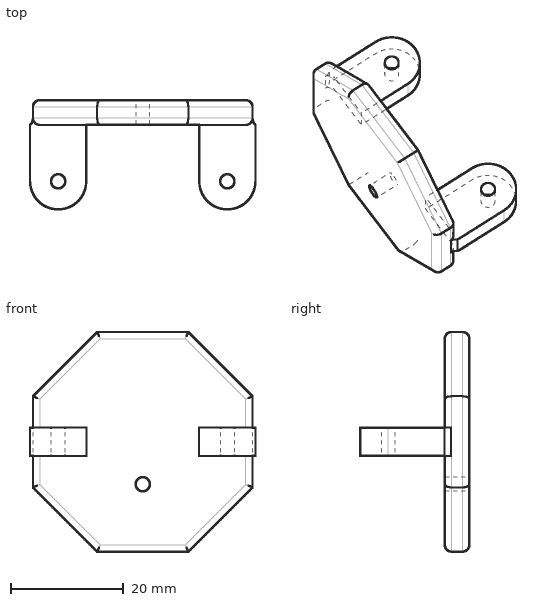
import cadquery as cq
import math

overall_width = 40
plate_across_flats = 39.0
plate_sides = 8
plate_thickness = 4.4
plate_edge_radius = 1.25

lug_width = 10
lug_thickness = 5.0
pivot_distance = 10
flare_depth = 1.1

hole_diameter = 2.5
plate_hole_drop = 7.5

lug_radius = lug_width / 2
lug_outer_x = overall_width / 2
lug_center_x = lug_outer_x - lug_radius
lug_inner_x = lug_outer_x - lug_width
plate_half_width = plate_across_flats / 2


def make_plate():
    """Octagon with flats on top, bottom and sides, all outer edges rounded."""
    across_corners = plate_across_flats / math.cos(math.pi / plate_sides)
    plate = (
        cq.Workplane("XZ")
        .transformed(rotate=(0, 0, 180 / plate_sides))
        .polygon(plate_sides, across_corners)
        .extrude(-plate_thickness)
        .faces("<Y or >Y")
        .edges()
        .fillet(plate_edge_radius)
    )
    hole = (
        cq.Workplane("XZ")
        .center(0, -plate_hole_drop)
        .circle(hole_diameter / 2)
        .extrude(-plate_thickness)
    )
    return plate.cut(hole)


def make_right_lug():
    """Round-ended lug whose outer root curves tangentially into the plate side."""
    return (
        cq.Workplane("XY")
        .moveTo(lug_inner_x, flare_depth)
        .lineTo(lug_inner_x, -pivot_distance)
        .threePointArc(
            (lug_center_x, -pivot_distance - lug_radius),
            (lug_outer_x, -pivot_distance),
        )
        .lineTo(lug_outer_x, 0)
        .threePointArc(root_arc_middle(), (plate_half_width, flare_depth))
        .close()
        .moveTo(lug_center_x, -pivot_distance)
        .circle(hole_diameter / 2)
        .extrude(lug_thickness / 2, both=True)
    )


def root_arc_middle():
    """Midpoint of the concave root arc, which is tangent to the plate side."""
    overhang = lug_outer_x - plate_half_width
    radius = (overhang**2 + flare_depth**2) / (2 * overhang)
    half_angle = math.asin(flare_depth / radius) / 2
    return (
        plate_half_width + radius * (1 - math.cos(half_angle)),
        flare_depth - radius * math.sin(half_angle),
    )


right_lug = make_right_lug()
left_lug = right_lug.mirror("YZ")
result = make_plate().union(right_lug).union(left_lug)